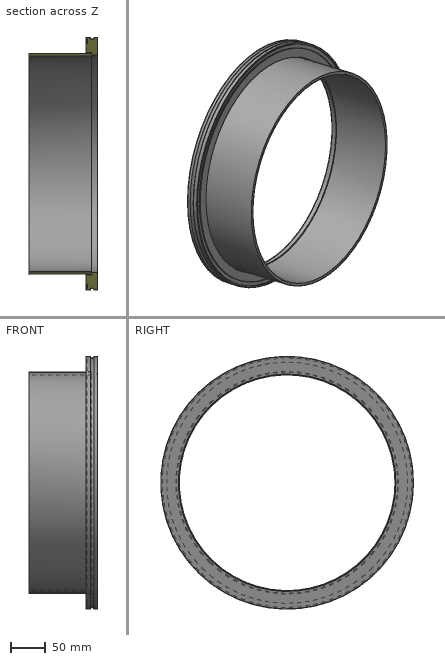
import cadquery as cq

total_length = 100.3
flange_diameter = 370.0
flange_thickness = 17.0

tube_outer_diameter = 323.8
tube_bore_diameter = 315.5
socket_diameter = 325.5
socket_depth = 8.5
flange_bore_diameter = 318.2

recess_outer_diameter = 365.2
recess_inner_diameter = 353.0
recess_depth = 2.0

groove_width = 5.5
groove_bottom_diameter = 365.2
groove_center_from_back = 7.8

flange_face_x = total_length - flange_thickness
socket_floor_x = flange_face_x + socket_depth


def ring(start_x, length, outer_diameter, inner_diameter):
    """Make a ring around the X axis that starts at start_x."""
    return (
        cq.Workplane("YZ", origin=(start_x, 0, 0))
        .circle(outer_diameter / 2)
        .circle(inner_diameter / 2)
        .extrude(length)
    )


def rim_groove():
    """Sweep the arc-shaped groove section around the X axis."""
    center_x = total_length - groove_center_from_back
    rim_radius = flange_diameter / 2
    return (
        cq.Workplane("XY")
        .moveTo(center_x - groove_width / 2, rim_radius)
        .threePointArc(
            (center_x, groove_bottom_diameter / 2),
            (center_x + groove_width / 2, rim_radius),
        )
        .close()
        .revolve(360, (0, 0, 0), (1, 0, 0))
    )


tube = ring(0, socket_floor_x, tube_outer_diameter, tube_bore_diameter)
flange = ring(flange_face_x, flange_thickness, flange_diameter, flange_bore_diameter)
socket = ring(flange_face_x, socket_depth, socket_diameter, flange_bore_diameter)
face_recess = ring(flange_face_x, recess_depth, recess_outer_diameter, recess_inner_diameter)

flange = flange.cut(socket).cut(face_recess).cut(rim_groove())
result = flange.union(tube)